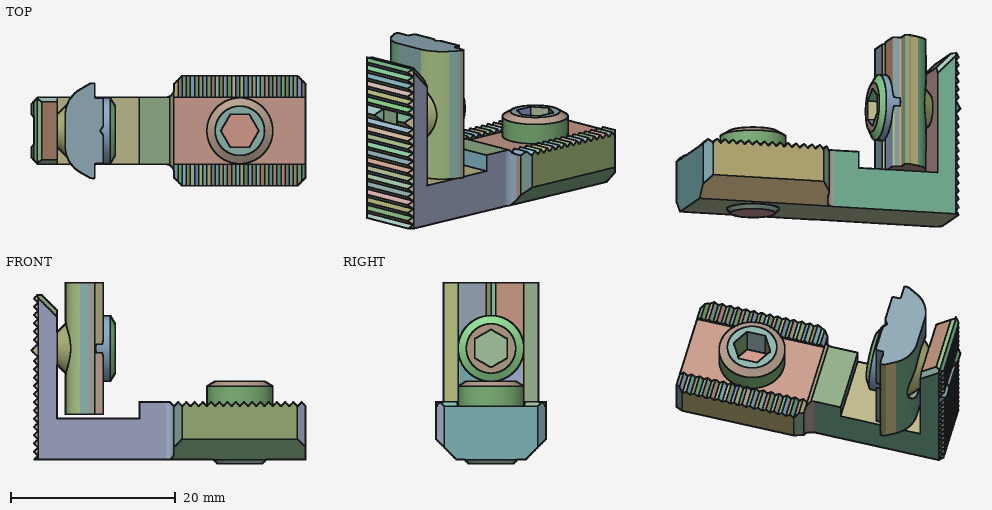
import cadquery as cq
import math

LENGTH = 33.3

PITCH = 1.0
TOOTH_HEIGHT = PITCH / 2

ARM_WIDTH = 8.15
ARM_HEIGHT = 5.0
STEP_X = 13.12
DECK_HEIGHT = 7.0
POST_HEIGHT = 19.98
POST_BACK_X = 3.13
POST_TOP_BEVEL = 1.85
BEVEL_EDGE_CHAMFER = 0.55
POST_SIDE_CHAMFER = 0.83

LOCATOR_HEIGHT = 0.8
LOCATOR_Z = 13.25
LOCATOR_GAP = 2.3
VALLEY_X = LOCATOR_HEIGHT

BLOCK_WIDTH = 13.4
BLOCK_TEETH = 16
BLOCK_X = LENGTH - BLOCK_TEETH * PITCH
BLOCK_CORNER_CHAMFER = 1.0
NECK_FILLET = 0.95
BOTTOM_CHAMFER = 2.5
ROOT_HEIGHT = DECK_HEIGHT - TOOTH_HEIGHT

HEAD_DIAMETER = 8.0
RIM_WIDTH = 1.0
RIM_HEIGHT = 0.6
SOCKET_FLATS = 4.0
SOCKET_DEPTH = 4.0
BOLT_X = (BLOCK_X + LENGTH) / 2
BOLT_SHANK_DIAMETER = 6.4
BOLT_TIP_CHAMFER = 0.5
BOLT_HEAD_HEIGHT = 3.03
BOLT_PROTRUSION = 0.53
SET_SCREW_LENGTH = 7.05
SET_SCREW_TIP = 4.0

NUT_Z = 5.5
NUT_HEIGHT = 16.0
NUT_NOSE_X = 4.13
NUT_LIP_X = 7.73
NUT_BOSS_X = 8.75
NOSE_HALF_WIDTH = 1.93
SHOULDER_RADIUS = 3.6
SHOULDER_SLOPE = 30.0
LIP_HALF_WIDTH = 5.8
LIP_BLEND_RADIUS = 1.0
BOSS_HALF_WIDTH = 3.95
NUT_FILLET = 0.2
GROOVE_HALF_WIDTH = 0.6
GROOVE_DEPTH = 0.4

NUT_AXIS_Z = NUT_Z + NUT_HEIGHT / 2


def extruded_across(points, width):
    """Close an XZ outline and extrude it symmetrically about Y = 0."""
    return cq.Workplane("XZ").polyline(points).close().extrude(width / 2, both=True)


def mirrored_pair(tool):
    """The tool together with its reflection in the mid-plane."""
    return tool.union(tool.mirror("XZ"))



def socket_screw(lower_profile, length):
    """Screw standing on Z = 0 with a bevelled rim and a hexagon socket on top.

    The lower profile lists the (radius, height) points from the tip up to the full diameter.
    """
    head_radius = HEAD_DIAMETER / 2
    upper_profile = [
        (head_radius, length - RIM_HEIGHT),
        (head_radius - RIM_WIDTH, length),
        (0, length),
    ]
    outline = [(0, 0)] + lower_profile + upper_profile
    body = cq.Workplane("XZ").polyline(outline).close().revolve(360, (0, 0, 0), (0, 1, 0))
    corner_diameter = SOCKET_FLATS / math.cos(math.radians(30))
    socket = (
        cq.Workplane("XY")
        .workplane(offset=length - SOCKET_DEPTH)
        .polygon(6, corner_diameter)
        .extrude(SOCKET_DEPTH)
    )
    return body.cut(socket)


def make_bolt():
    """Bolt whose head rests on the strip between the rows of block teeth."""
    shank_length = ROOT_HEIGHT + BOLT_PROTRUSION
    shank_radius = BOLT_SHANK_DIAMETER / 2
    lower_profile = [
        (shank_radius - BOLT_TIP_CHAMFER, 0),
        (shank_radius, BOLT_TIP_CHAMFER),
        (shank_radius, shank_length),
        (HEAD_DIAMETER / 2, shank_length),
    ]
    bolt = socket_screw(lower_profile, shank_length + BOLT_HEAD_HEIGHT)
    return bolt.translate((BOLT_X, 0, -BOLT_PROTRUSION))


def make_set_screw():
    """Set screw along X whose 45 degree cone point presses on the post."""
    radius = HEAD_DIAMETER / 2
    tip_radius = SET_SCREW_TIP / 2
    lower_profile = [
        (tip_radius, 0),
        (radius, radius - tip_radius),
    ]
    screw = socket_screw(lower_profile, SET_SCREW_LENGTH)
    lying = screw.rotate((0, 0, 0), (0, 1, 0), 90)
    return lying.translate((POST_BACK_X, 0, NUT_AXIS_Z))



def arm_and_post():
    outline = [
        (VALLEY_X, 0),
        (BLOCK_X, 0),
        (BLOCK_X, DECK_HEIGHT),
        (STEP_X, DECK_HEIGHT),
        (STEP_X, ARM_HEIGHT),
        (POST_BACK_X, ARM_HEIGHT),
        (POST_BACK_X, POST_HEIGHT - POST_TOP_BEVEL),
        (POST_BACK_X - POST_TOP_BEVEL, POST_HEIGHT),
        (VALLEY_X, POST_HEIGHT),
    ]
    body = extruded_across(outline, ARM_WIDTH)
    bevel_middle = (POST_BACK_X - POST_TOP_BEVEL / 2, 0, POST_HEIGHT - POST_TOP_BEVEL / 2)
    bevel = body.faces(cq.selectors.NearestToPointSelector(bevel_middle))
    return bevel.edges("not |Y").chamfer(BEVEL_EDGE_CHAMFER)


def tooth_prism(tip_z, height, tip_x):
    """Ridge along Y on the front of the post."""
    outline = [
        (tip_x, tip_z),
        (tip_x + height, tip_z + height),
        (tip_x + height, tip_z - height),
    ]
    return extruded_across(outline, ARM_WIDTH)


def locator_gap():
    """Gap with 45 degree ends that splits the locating tooth."""
    root_half = LOCATOR_GAP / 2
    outline = [
        (0, root_half + POST_SIDE_CHAMFER),
        (POST_SIDE_CHAMFER, root_half),
        (POST_SIDE_CHAMFER, -root_half),
        (0, -root_half - POST_SIDE_CHAMFER),
    ]
    gap = cq.Workplane("XY").polyline(outline).close().extrude(2 * LOCATOR_HEIGHT)
    return gap.translate((0, 0, LOCATOR_Z - LOCATOR_HEIGHT))


def post_teeth():
    teeth = tooth_prism(LOCATOR_Z, LOCATOR_HEIGHT, 0)
    small_tip_x = VALLEY_X - TOOTH_HEIGHT
    first_offset = LOCATOR_HEIGHT + TOOTH_HEIGHT
    above = math.ceil((POST_HEIGHT - LOCATOR_Z - LOCATOR_HEIGHT) / PITCH)
    below = math.ceil((LOCATOR_Z - LOCATOR_HEIGHT) / PITCH)
    for direction, count in ((1, above), (-1, below)):
        for i in range(count):
            tip_z = LOCATOR_Z + direction * (first_offset + i * PITCH)
            teeth = teeth.union(tooth_prism(tip_z, TOOTH_HEIGHT, small_tip_x))
    post_front = cq.Workplane("XY").box(POST_BACK_X, ARM_WIDTH, POST_HEIGHT, centered=(False, True, False))
    return teeth.intersect(post_front)


def post_side_chamfer():
    """Tools that chamfer the front corners of the post, teeth included."""
    edge_y = ARM_WIDTH / 2
    outline = [
        (0, edge_y - POST_SIDE_CHAMFER),
        (POST_SIDE_CHAMFER, edge_y),
        (0, edge_y),
    ]
    return mirrored_pair(cq.Workplane("XY").polyline(outline).close().extrude(POST_HEIGHT))


def block_plan():
    """Block and its filleted neck, full deck height."""
    middle_x = (BLOCK_X + LENGTH) / 2
    block = (
        cq.Workplane("XY")
        .center(middle_x, 0)
        .rect(LENGTH - BLOCK_X, BLOCK_WIDTH)
        .extrude(DECK_HEIGHT)
        .edges("|Z")
        .chamfer(BLOCK_CORNER_CHAMFER)
    )
    arm_edge = ARM_WIDTH / 2
    neck = (
        cq.Workplane("XY")
        .moveTo(BLOCK_X, arm_edge)
        .lineTo(BLOCK_X, arm_edge + NECK_FILLET)
        .radiusArc((BLOCK_X - NECK_FILLET, arm_edge), NECK_FILLET)
        .close()
        .extrude(DECK_HEIGHT)
    )
    return block.union(mirrored_pair(neck))


def deck_recess():
    """Space above the tooth roots: 45 degree slope, then flat to the end."""
    outline = [
        (BLOCK_X - TOOTH_HEIGHT, DECK_HEIGHT),
        (BLOCK_X, ROOT_HEIGHT),
        (LENGTH, ROOT_HEIGHT),
        (LENGTH, DECK_HEIGHT),
    ]
    return extruded_across(outline, BLOCK_WIDTH)


def block_teeth():
    """Two rows of ridges on full-height rails, one on each side of the plain middle strip."""
    outline = [(LENGTH, 0), (BLOCK_X, 0), (BLOCK_X, ROOT_HEIGHT)]
    for i in range(BLOCK_TEETH):
        outline.append((BLOCK_X + (i + 0.5) * PITCH, DECK_HEIGHT))
        outline.append((BLOCK_X + (i + 1) * PITCH, ROOT_HEIGHT))
    strip = cq.Workplane("XY").box(2 * LENGTH, ARM_WIDTH, 2 * LENGTH)
    return extruded_across(outline, BLOCK_WIDTH).cut(strip)


def bottom_chamfer():
    """Tools that bevel the two long lower edges of the block."""
    edge_y = BLOCK_WIDTH / 2
    outline = [
        (edge_y - BOTTOM_CHAMFER, 0),
        (edge_y, BOTTOM_CHAMFER),
        (edge_y, 0),
    ]
    return mirrored_pair(cq.Workplane("YZ").polyline(outline).close().extrude(LENGTH))


def make_bracket():
    plan = block_plan()
    body = arm_and_post().union(post_teeth())
    body = body.cut(post_side_chamfer()).cut(locator_gap())
    body = body.union(plan).cut(deck_recess())
    body = body.union(block_teeth().intersect(plan)).cut(bottom_chamfer())
    bolt_hole = cq.Workplane("XY").center(BOLT_X, 0).circle(BOLT_SHANK_DIAMETER / 2).extrude(DECK_HEIGHT)
    return body.cut(bolt_hole)



def make_nut():
    turn = math.radians(90 - SHOULDER_SLOPE)
    shoulder_x = NUT_NOSE_X + SHOULDER_RADIUS * (1 - math.cos(turn))
    shoulder_y = NOSE_HALF_WIDTH + SHOULDER_RADIUS * math.sin(turn)
    slope = math.radians(SHOULDER_SLOPE)
    blend_y = LIP_HALF_WIDTH - LIP_BLEND_RADIUS * (1 - math.cos(slope))
    blend_x = shoulder_x + (blend_y - shoulder_y) / math.tan(slope)
    blend_end_x = blend_x + LIP_BLEND_RADIUS * math.sin(slope)
    half = (
        cq.Workplane("XY")
        .moveTo(NUT_NOSE_X, 0)
        .lineTo(NUT_NOSE_X, NOSE_HALF_WIDTH)
        .radiusArc((shoulder_x, shoulder_y), SHOULDER_RADIUS)
        .lineTo(blend_x, blend_y)
        .radiusArc((blend_end_x, LIP_HALF_WIDTH), LIP_BLEND_RADIUS)
        .lineTo(NUT_LIP_X, LIP_HALF_WIDTH)
        .lineTo(NUT_LIP_X, BOSS_HALF_WIDTH)
        .lineTo(NUT_BOSS_X, BOSS_HALF_WIDTH)
        .lineTo(NUT_BOSS_X, GROOVE_HALF_WIDTH)
        .lineTo(NUT_BOSS_X - GROOVE_DEPTH, 0)
        .close()
        .extrude(NUT_HEIGHT)
    )
    lip_and_boss = cq.selectors.BoxSelector(
        (NUT_LIP_X - NUT_FILLET, GROOVE_HALF_WIDTH + NUT_FILLET, 0),
        (NUT_BOSS_X + NUT_FILLET, LIP_HALF_WIDTH + NUT_FILLET, NUT_HEIGHT),
    )
    half = half.edges("|Z").edges(lip_and_boss).fillet(NUT_FILLET)
    body = mirrored_pair(half).translate((0, 0, NUT_Z))
    screw_hole = cq.Workplane("YZ").center(0, NUT_AXIS_Z).circle(HEAD_DIAMETER / 2).extrude(LENGTH)
    return body.cut(screw_hole)


bracket = make_bracket()
nut = make_nut()
bolt = make_bolt()
set_screw = make_set_screw()

result = cq.Compound.makeCompound([bracket.val(), nut.val(), bolt.val(), set_screw.val()])